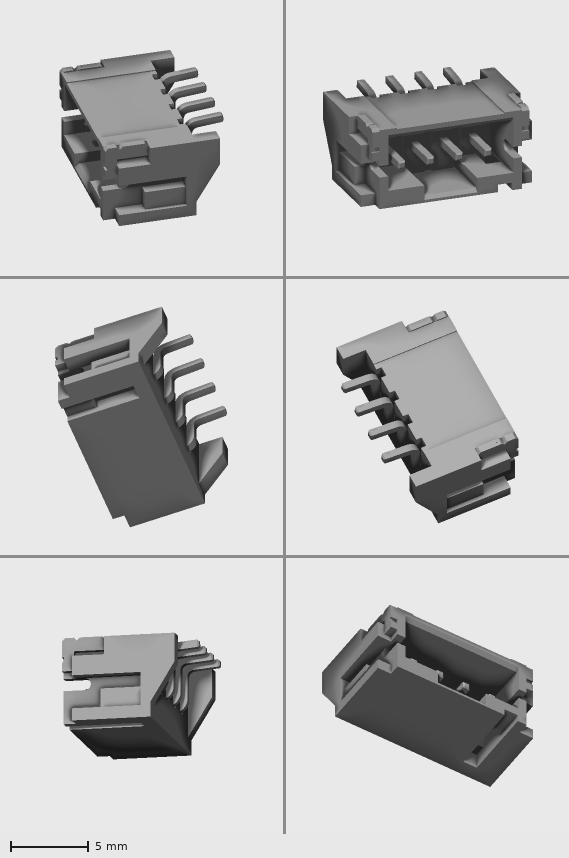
import cadquery as cq
import math


overall_width = 11.9
wing_width = 1.0
core_half_width = overall_width / 2 - wing_width
housing_height = 5.5
core_depth = 6.0
top_panel_width = 7.47
top_panel_drop = 0.08

wing_front = 0.8
wing_back = 7.6
slope_bottom = 0.99
slope_top = 3.59
recess_back = 5.35
recess_bottom = 0.81
recess_top = 3.0
rib_front = 2.62
rib_top = 2.1
rib_thickness = 0.73
tab_pocket_back = 2.9
tab_pocket_floor = 4.3

cavity_width = 8.7
cavity_floor = 1.2
cavity_ceiling = 4.81
cavity_back = 4.2
lead_in = 0.26
channel_width = 3.69
channel_floor = 0.44
channel_lead_in = 0.25
side_slot_bottom = 2.2
side_slot_back = 1.81
gusset_width = 0.5
gusset_size = 0.32
groove_center = 3.77
groove_width = 1.02
groove_roof = 0.52
window_front = 2.08
groove_back = 5.0

contact_count = 4
contact_pitch = 2.0
contact_size = 0.5
contact_height = 2.4
contact_front = 1.0
contact_back = 8.62
contact_chamfer = 0.1
contact_leg_front = 5.97
bend_inner_radius = 0.39
tail_rise_angle = 5.0
tail_top = 5.59
block_width = 1.6
block_height = 3.72
block_length = 0.2
block_side_taper = 0.07
block_top_taper = 0.57
back_slot_width = 0.7
back_slot_depth = 0.38

tab_thickness = 0.5
tab_top = 5.6
tab_arm_bottom = 4.7
tab_leg_bottom = 3.4
tab_chamfer = 0.2
vee_position = 1.0
notch_bottom = 4.0
notch_height = 0.33
notch_depth = 0.15
dimple_diameter = 0.1
dimple_depth = 0.1
dimple_position = 1.45

contact_positions = [(i - (contact_count - 1) / 2) * contact_pitch for i in range(contact_count)]


def block(x_range, y_range, z_range):
    """Axis-aligned block between the given pairs of coordinates."""
    (x0, x1), (y0, y1), (z0, z1) = x_range, y_range, z_range
    return cq.Workplane("XY").box(x1 - x0, y1 - y0, z1 - z0, centered=False).translate((x0, y0, z0))


def centered_block(x_center, width, y_range, z_range):
    """Axis-aligned block whose X extent is centred on x_center."""
    return block((x_center - width / 2, x_center + width / 2), y_range, z_range)


def side_profile(points, x_start, thickness):
    """Polygon of (Y, Z) points extruded along +X from x_start."""
    return cq.Workplane("YZ").workplane(offset=x_start).polyline(points).close().extrude(thickness)


def right_wing():
    """Side wing with a sloped back, a recessed flank with a rib, and a pocket for the solder tab."""
    outer = overall_width / 2
    outline = [
        (wing_front, 0),
        (core_depth, 0),
        (core_depth, slope_bottom),
        (wing_back, slope_top),
        (wing_back, housing_height),
        (wing_front, housing_height),
    ]
    wing = side_profile(outline, core_half_width, wing_width)
    x_range = (core_half_width, outer)
    wing = wing.cut(block(x_range, (0, recess_back), (recess_bottom, recess_top)))
    wing = wing.cut(block(x_range, (0, tab_pocket_back), (tab_pocket_floor, housing_height)))
    rib_range = (core_half_width, core_half_width + rib_thickness)
    return wing.union(block(rib_range, (rib_front, recess_back), (recess_bottom, rib_top)))


def housing_shell():
    """Core block with its two wings and the lowered panel on top."""
    core = centered_block(0, 2 * core_half_width, (0, core_depth), (0, housing_height))
    wing = right_wing()
    panel_range = (housing_height - top_panel_drop, housing_height)
    core = core.cut(centered_block(0, top_panel_width, (0, core_depth), panel_range))
    return core.union(wing).union(wing.mirror("YZ"))


def cavity():
    """Mating cavity with a chamfered upper lip and a deeper channel along the middle of its floor."""
    room_outline = [
        (0, cavity_floor),
        (cavity_back, cavity_floor),
        (cavity_back, cavity_ceiling),
        (lead_in, cavity_ceiling),
        (0, cavity_ceiling + lead_in),
    ]
    channel_outline = [
        (0, channel_floor - channel_lead_in),
        (channel_lead_in, channel_floor),
        (cavity_back, channel_floor),
        (cavity_back, cavity_floor),
        (0, cavity_floor),
    ]
    room = side_profile(room_outline, -cavity_width / 2, cavity_width)
    return room.union(side_profile(channel_outline, -channel_width / 2, channel_width))


def side_slots():
    """Round-ended slot running in from the mating face through both side walls."""
    radius = (recess_top - side_slot_bottom) / 2
    straight_end = side_slot_back - radius
    return (
        cq.Workplane("YZ")
        .workplane(offset=-core_half_width)
        .moveTo(0, side_slot_bottom)
        .lineTo(straight_end, side_slot_bottom)
        .threePointArc((side_slot_back, side_slot_bottom + radius), (straight_end, recess_top))
        .lineTo(0, recess_top)
        .close()
        .extrude(2 * core_half_width)
    )


def underside_groove():
    """Underside groove, open at the front; its rear part rises into the cavity and under the back wall."""
    groove = centered_block(groove_center, groove_width, (0, groove_back), (0, groove_roof))
    window = centered_block(groove_center, groove_width, (window_front, groove_back), (0, cavity_floor))
    return groove.union(window)


def ceiling_gussets():
    """Triangular gussets between the contacts, where the cavity ceiling meets its back wall."""
    outline = [
        (cavity_back, cavity_ceiling),
        (cavity_back - gusset_size, cavity_ceiling),
        (cavity_back, cavity_ceiling - gusset_size),
    ]
    gussets = cq.Workplane("XY")
    for left, right in zip(contact_positions, contact_positions[1:]):
        gussets = gussets.union(side_profile(outline, (left + right - gusset_width) / 2, gusset_width))
    return gussets


def contact_block(x, floor):
    """Tapered block on the cavity's back wall, standing on the floor below the contact at x."""
    base_height = block_height - floor
    front_width = block_width - 2 * block_side_taper
    front_height = base_height - block_top_taper
    return (
        cq.Workplane("XZ", origin=(x, cavity_back, floor))
        .center(0, base_height / 2)
        .rect(block_width, base_height)
        .workplane(offset=block_length)
        .center(0, -block_top_taper / 2)
        .rect(front_width, front_height)
        .loft(ruled=True)
    )


def contact(x):
    """Square pin that runs back through the wall, bends up and ends in a slightly rising tail."""
    rise = math.radians(tail_rise_angle)
    half_size = contact_size / 2
    bend_radius = bend_inner_radius + half_size
    leg_center = contact_leg_front + half_size
    lower_bend_start = leg_center - bend_radius
    half_turn = (math.pi / 2 - rise) / 2

    tail_end_y = contact_back - (half_size - contact_chamfer) * math.sin(rise)
    tail_start_y = leg_center + bend_radius * (1 - math.sin(rise))
    tail_length = (tail_end_y - tail_start_y) / math.cos(rise)
    tail_end_z = tail_top - half_size * math.cos(rise)
    tail_start_z = tail_end_z - tail_length * math.sin(rise)
    upper_bend_z = tail_start_z - bend_radius * math.cos(rise)
    bend_center_y = leg_center + bend_radius
    upper_mid = (
        bend_center_y - bend_radius * math.cos(half_turn),
        upper_bend_z + bend_radius * math.sin(half_turn),
    )
    lower_mid = (
        lower_bend_start + bend_radius * math.sin(math.pi / 4),
        contact_height + bend_radius * (1 - math.cos(math.pi / 4)),
    )
    path = (
        cq.Workplane("YZ", origin=(x, 0, 0))
        .moveTo(contact_front, contact_height)
        .lineTo(lower_bend_start, contact_height)
        .threePointArc(lower_mid, (leg_center, contact_height + bend_radius))
        .lineTo(leg_center, upper_bend_z)
        .threePointArc(upper_mid, (tail_start_y, tail_start_z))
        .lineTo(tail_end_y, tail_end_z)
    )
    section = cq.Workplane("XZ", origin=(x, contact_front, contact_height)).rect(contact_size, contact_size)
    pin = section.sweep(path)
    return pin.faces("<Y or >Y").chamfer(contact_chamfer)


def back_slot(x):
    """Slot in the back wall that leaves room for the contact's upward bend."""
    floor = contact_height - contact_size / 2
    slot_range = (core_depth - back_slot_depth, core_depth)
    return centered_block(x, back_slot_width, slot_range, (floor, housing_height))


def make_housing():
    """Moulded housing, in one piece with the contacts held in its back wall."""
    body = housing_shell().cut(cavity()).cut(side_slots()).union(ceiling_gussets())
    body = body.cut(underside_groove())
    for x in contact_positions:
        over_channel = abs(x) < channel_width / 2
        floor = channel_floor if over_channel else cavity_floor
        body = body.union(contact_block(x, floor)).cut(back_slot(x))
    for x in contact_positions:
        body = body.union(contact(x))
    return body


def make_solder_tab(side):
    """L-shaped plate on the core's flank; side is -1 for the left tab and +1 for the right."""
    chamfered_top = tab_top - tab_chamfer
    outline = [
        (0, tab_leg_bottom),
        (wing_front, tab_leg_bottom),
        (wing_front, tab_arm_bottom),
        (tab_pocket_back, tab_arm_bottom),
        (tab_pocket_back, chamfered_top),
        (tab_pocket_back - tab_chamfer, tab_top),
        (vee_position + tab_chamfer, tab_top),
        (vee_position, chamfered_top),
        (vee_position - tab_chamfer, tab_top),
        (tab_chamfer, tab_top),
        (0, chamfered_top),
        (0, notch_bottom + notch_height),
        (notch_depth, notch_bottom + notch_height),
        (notch_depth, notch_bottom),
        (0, notch_bottom),
    ]
    x_start = core_half_width if side > 0 else -core_half_width - tab_thickness
    return side_profile(outline, x_start, tab_thickness)


def dimple():
    """Small round mark sunk into the top of the left tab."""
    center = (-core_half_width - tab_thickness / 2, dimple_position, tab_top - dimple_depth)
    return cq.Workplane("XY", origin=center).circle(dimple_diameter / 2).extrude(dimple_depth)


housing = make_housing()
solder_tabs = [make_solder_tab(side) for side in (-1, 1)]
solder_tabs[0] = solder_tabs[0].cut(dimple())

result = cq.Compound.makeCompound([housing.val(), *[tab.val() for tab in solder_tabs]])